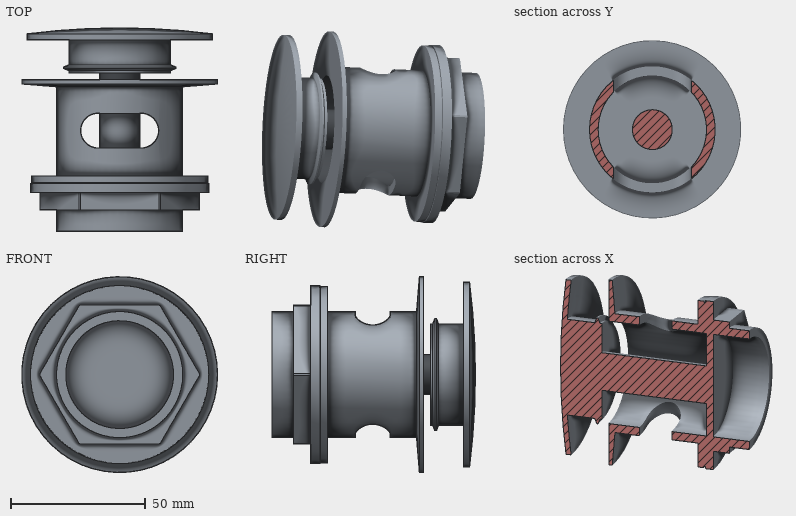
import cadquery as cq
import math


tube_radius = 23.5
bore_radius = 20.1
floor_start = 14.4
floor_thickness = 3.0

hex_start = 7.95
hex_across_flats = 51.85
hex_corner_flat = 0.7
flange_start = 14.4
flange_end = 17.8
flange_radius = 33.2
washer_end = 20.7
washer_radius = 32.9
groove_width = 0.3
groove_radius = 32.45

cone_start = 53.8
rim_start = 54.9
rim_end = 56.5
rim_diameter = 73.0
rim_radius = rim_diameter / 2

rod_radius = 7.5
plug_start = 59.0
plug_radius = 18.95
ring_center = 60.95
ring_base_width = 2.2
ring_tip_width = 0.6
ring_radius = 20.9

cap_start = 71.3
cap_rim_end = 73.6
cap_end = 75.8
cap_radius = 34.5

slot_center = 37.5
slot_length = 28.95
slot_width = 12.9


def disc(radius, start, end):
    """Cylinder on the Y axis between two stations."""
    return cq.Workplane("XZ", origin=(0, start, 0)).circle(radius).extrude(start - end)


def hexagon():
    """Hexagonal prism with corners on the X axis, trimmed by a second hexagon at the corners."""
    across_corners = hex_across_flats / math.cos(math.pi / 6)
    trim_depth = hex_corner_flat / (2 * math.tan(math.pi / 3))
    trim_diameter = (across_corners - 2 * trim_depth) / math.cos(math.pi / 6)
    length = flange_start - hex_start
    plane = cq.Workplane("XZ", origin=(0, hex_start, 0))
    prism = plane.polygon(6, across_corners).extrude(-length)
    trim = plane.transformed(rotate=(0, 0, 30)).polygon(6, trim_diameter).extrude(-length)
    return prism.intersect(trim)


def drain_flange():
    profile = (
        cq.Workplane("XY")
        .moveTo(0, cone_start)
        .lineTo(tube_radius, cone_start)
        .lineTo(rim_radius, rim_start)
        .lineTo(rim_radius, rim_end)
        .lineTo(0, rim_end)
        .close()
    )
    return profile.revolve(360, (0, 0, 0), (0, 1, 0))


def cap():
    """Dished disc of constant thickness, with its hollow side toward the plug."""
    rise = cap_end - cap_rim_end
    thickness = cap_rim_end - cap_start
    dome_radius = (cap_radius**2 + rise**2) / (2 * rise)
    half_angle = math.asin(cap_radius / dome_radius) / 2
    middle_radius = dome_radius * math.sin(half_angle)
    middle_station = cap_end - dome_radius * (1 - math.cos(half_angle))
    profile = (
        cq.Workplane("XY")
        .moveTo(0, cap_end - thickness)
        .threePointArc((middle_radius, middle_station - thickness), (cap_radius, cap_start))
        .lineTo(cap_radius, cap_rim_end)
        .threePointArc((middle_radius, middle_station), (0, cap_end))
        .close()
    )
    return profile.revolve(360, (0, 0, 0), (0, 1, 0))


def sealing_ring():
    """Ring that tapers outward from the plug to a narrow rim."""
    profile = (
        cq.Workplane("XY")
        .moveTo(0, ring_center - ring_base_width / 2)
        .lineTo(plug_radius, ring_center - ring_base_width / 2)
        .lineTo(ring_radius, ring_center - ring_tip_width / 2)
        .lineTo(ring_radius, ring_center + ring_tip_width / 2)
        .lineTo(plug_radius, ring_center + ring_base_width / 2)
        .lineTo(0, ring_center + ring_base_width / 2)
        .close()
    )
    return profile.revolve(360, (0, 0, 0), (0, 1, 0))


def body():
    outside = (
        disc(tube_radius, 0, cone_start)
        .union(hexagon())
        .union(disc(flange_radius, flange_start, flange_end))
        .union(disc(groove_radius, flange_end, flange_end + groove_width))
        .union(disc(washer_radius, flange_end + groove_width, washer_end))
        .union(drain_flange())
    )
    tail_bore = disc(bore_radius, 0, floor_start)
    chamber = disc(bore_radius, floor_start + floor_thickness, rim_end)
    slots = (
        cq.Workplane("XY", origin=(0, slot_center, 0))
        .slot2D(slot_length, slot_width)
        .extrude(tube_radius, both=True)
    )
    return outside.cut(tail_bore).cut(chamber).cut(slots)


def plug():
    return (
        disc(rod_radius, floor_start, plug_start)
        .union(disc(plug_radius, plug_start, cap_rim_end))
        .union(sealing_ring())
        .union(cap())
    )


result = body().union(plug())